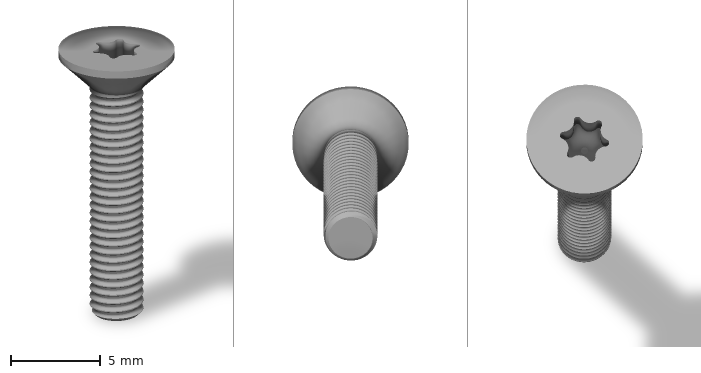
import cadquery as cq
import math

THREAD_DIAMETER = 3.0
THREAD_PITCH = 0.5
TOTAL_LENGTH = 16.0
HEAD_DIAMETER = 6.5
HEAD_RIM_HEIGHT = 0.44

SOCKET_TIP_DIAMETER = 2.8
SOCKET_WAIST_DIAMETER = 1.98
LOBE_TIP_RADIUS = 0.21
LOBE_COUNT = 6
SOCKET_WALL_DEPTH = 1.15
SOCKET_FLOOR_SLOPE = 30.0
SOCKET_FLOOR_FLAT_DIAMETER = 0.4

GROOVE_END_ANGLE = 145.0

thread_radius = THREAD_DIAMETER / 2
head_radius = HEAD_DIAMETER / 2
head_height = HEAD_RIM_HEIGHT + head_radius - thread_radius

sharp_height = THREAD_PITCH * math.sqrt(3) / 2
thread_depth = sharp_height * 5 / 8
root_radius = thread_radius - thread_depth
root_flat = THREAD_PITCH / 4
groove_start = -TOTAL_LENGTH - THREAD_PITCH


def make_head():
    """Countersunk head with a short cylindrical rim."""
    return (
        cq.Workplane("XZ")
        .moveTo(0, 0)
        .lineTo(head_radius, 0)
        .lineTo(head_radius, -HEAD_RIM_HEIGHT)
        .lineTo(thread_radius, -head_height)
        .lineTo(0, -head_height)
        .close()
        .revolve(360, (0, 0, 0), (0, 1, 0))
    )


def make_shank_envelope():
    """Plain shank with a 45 degree chamfer at the tip."""
    return (
        cq.Workplane("XY", origin=(0, 0, -TOTAL_LENGTH))
        .circle(thread_radius)
        .extrude(TOTAL_LENGTH - head_height)
        .faces("<Z")
        .chamfer(thread_depth)
    )


def make_thread_groove():
    """Right-handed helical V groove running from below the tip to the head."""
    overshoot = 0.005
    outer_radius = thread_radius + overshoot
    root_half = root_flat / 2
    outer_half = root_half + (thread_depth + overshoot) * math.tan(math.radians(30))

    full_turns = math.floor((-head_height - groove_start) / THREAD_PITCH)
    groove_rise = THREAD_PITCH * (full_turns + GROOVE_END_ANGLE / 360)

    path = cq.Wire.makeHelix(THREAD_PITCH, groove_rise, root_radius).translate(
        cq.Vector(0, 0, groove_start)
    )
    profile = (
        cq.Workplane("XZ")
        .moveTo(root_radius, groove_start - root_half)
        .lineTo(outer_radius, groove_start - outer_half)
        .lineTo(outer_radius, groove_start + outer_half)
        .lineTo(root_radius, groove_start + root_half)
        .close()
    )
    return profile.sweep(cq.Workplane(obj=path), isFrenet=True)


def make_shank():
    """Overlong threaded rod trimmed to the chamfered shank."""
    rod_start = groove_start - 2 * THREAD_PITCH
    rod_end = -head_height + THREAD_PITCH / 2
    rod = (
        cq.Workplane("XY", origin=(0, 0, rod_start))
        .circle(thread_radius)
        .extrude(rod_end - rod_start)
    )
    return rod.cut(make_thread_groove()).intersect(make_shank_envelope())


def polar(radius, degrees):
    angle = math.radians(degrees)
    return radius * math.cos(angle), radius * math.sin(angle)


def make_socket():
    """Six-lobe socket with tangent lobe and waist arcs and a conical floor."""
    tip = SOCKET_TIP_DIAMETER / 2
    waist = SOCKET_WAIST_DIAMETER / 2
    lobe_step = 360 / LOBE_COUNT
    lobe_center = tip - LOBE_TIP_RADIUS

    half_step = math.radians(lobe_step / 2)
    lobe_center_reach = lobe_center * math.cos(half_step)
    waist_radius = (
        LOBE_TIP_RADIUS**2 - waist**2 - lobe_center**2 + 2 * waist * lobe_center_reach
    ) / (2 * (waist - lobe_center_reach - LOBE_TIP_RADIUS))
    waist_center = waist + waist_radius

    waist_x, waist_y = polar(waist_center, lobe_step / 2)
    share = LOBE_TIP_RADIUS / (LOBE_TIP_RADIUS + waist_radius)
    tangent_x = lobe_center + share * (waist_x - lobe_center)
    tangent_y = share * waist_y
    tangent_reach = math.hypot(tangent_x, tangent_y)
    tangent_angle = math.degrees(math.atan2(tangent_y, tangent_x))

    floor_flat_radius = SOCKET_FLOOR_FLAT_DIAMETER / 2
    floor_drop = (tip - floor_flat_radius) * math.tan(math.radians(SOCKET_FLOOR_SLOPE))
    full_depth = SOCKET_WALL_DEPTH + floor_drop

    outline = cq.Workplane("XY").moveTo(*polar(tangent_reach, -tangent_angle))
    for lobe in range(LOBE_COUNT):
        direction = lobe * lobe_step
        outline = outline.threePointArc(
            polar(tip, direction), polar(tangent_reach, direction + tangent_angle)
        ).threePointArc(
            polar(waist, direction + lobe_step / 2),
            polar(tangent_reach, direction + lobe_step - tangent_angle),
        )
    star = outline.close().extrude(-full_depth)

    floor_envelope = (
        cq.Workplane("XZ")
        .moveTo(0, 0)
        .lineTo(tip, 0)
        .lineTo(tip, -SOCKET_WALL_DEPTH)
        .lineTo(floor_flat_radius, -full_depth)
        .lineTo(0, -full_depth)
        .close()
        .revolve(360, (0, 0, 0), (0, 1, 0))
    )
    return star.intersect(floor_envelope)


result = make_head().union(make_shank()).cut(make_socket())